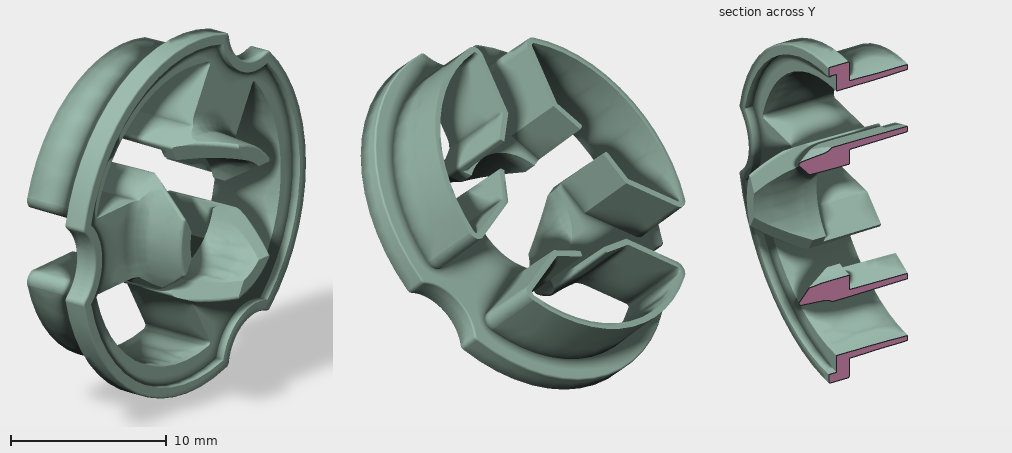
import cadquery as cq
import math

flange_radius = 12.0
flange_thickness = 1.54
flange_rim_fillet = 0.12
hub_radius = 4.2

floor_thickness = 0.95
rim_wall = 0.72

tube_length = 4.27
tube_draft = 0.8
wall = 0.53

arm_count = 3
arm_spacing = 360.0 / arm_count
notch_bottom = 10.5
notch_radius = 3.0
notch_corner_fillet = 0.3

window_radius = 10.0
window_corner_fillet = 0.2
tube_corner_fillet = window_corner_fillet + wall
arm_half_width = 2.62
lip_tip_distance = 5.28
lip_lean = 8.0
lip_tip_fillet = 0.2
slot_half_width = 1.05

claw_length = 3.0
claw_root_radius = 5.6
claw_tip_radius = 5.38
claw_root_fillet = 1.0
claw_edge_fillet = 0.2
flank_end_half_width = 3.22
bore_end_radius = 4.35

claw_end = flange_thickness + claw_length
tolerance = 0.002
half_spacing = math.radians(arm_spacing / 2)


def around_axis(body):
    """Return one copy of the body for each third of the part."""
    copies = body
    for index in range(1, arm_count):
        copies = copies.union(body.rotate((0, 0, 0), (1, 0, 0), index * arm_spacing))
    return copies


def window_points(offset):
    """Lip tip, elbow and rim corner on the +Z side, moved outward by the offset."""
    lean = math.radians(lip_lean)
    lip_line = lip_tip_distance - offset / math.cos(lean)
    side = arm_half_width - offset
    rim = window_radius + offset
    cos_arm = math.cos(half_spacing)
    sin_arm = math.sin(half_spacing)

    tip = (lip_line, slot_half_width)
    elbow_rise = (lip_line * sin_arm - slot_half_width * cos_arm - side) / (
        cos_arm + math.tan(lean) * sin_arm
    )
    elbow = (lip_line - elbow_rise * math.tan(lean), slot_half_width + elbow_rise)
    reach = math.sqrt(rim**2 - side**2)
    corner = (reach * cos_arm + side * sin_arm, reach * sin_arm - side * cos_arm)
    return tip, elbow, corner


def mirrored(point):
    return (point[0], -point[1])


def window_sketch(offset, corner_fillet, with_slot):
    """Window outline, either closed across the lip tips or open to the hub by the slot."""
    tip, elbow, corner = window_points(offset)
    path = [mirrored(corner), mirrored(elbow), mirrored(tip)]
    if with_slot:
        path += [(0, -slot_half_width), (0, slot_half_width)]
    path += [tip, elbow, corner]
    sketch = cq.Sketch()
    for start, end in zip(path, path[1:]):
        sketch = sketch.segment(start, end)
    sketch = sketch.arc(corner, (window_radius + offset, 0), mirrored(corner)).assemble()
    sketch = sketch.vertices(">Y or <Y").fillet(corner_fillet)
    if with_slot:
        for point in (tip, mirrored(tip)):
            lip_tip = cq.NearestToPointSelector((*point, 0))
            sketch = sketch.reset().vertices(lip_tip).fillet(lip_tip_fillet)
    return sketch.reset()


def notches(radius):
    """Cylinders on the rim notch axes."""
    notch = (
        cq.Workplane("YZ")
        .center(-notch_bottom - notch_radius, 0)
        .circle(radius)
        .extrude(flange_thickness)
    )
    return around_axis(notch)


def flange():
    disc = cq.Workplane("YZ").circle(flange_radius).extrude(flange_thickness)
    disc = disc.cut(notches(notch_radius)).edges("|X").fillet(notch_corner_fillet)
    disc = disc.faces("<X or >X").edges().fillet(flange_rim_fillet)
    recess = (
        cq.Workplane("YZ", origin=(floor_thickness, 0, 0))
        .circle(flange_radius - rim_wall)
        .extrude(flange_thickness - floor_thickness)
        .cut(notches(notch_radius + rim_wall))
    )
    return disc.cut(recess)


def tubes():
    outline = window_sketch(wall, tube_corner_fillet, with_slot=False)
    tube = cq.Workplane("YZ").placeSketch(outline).extrude(-tube_length, taper=tube_draft)
    return around_axis(tube)


def windows():
    """Openings with straight sides through the flange and widening sides in the tubes."""
    outline = window_sketch(0, window_corner_fillet, with_slot=True)
    straight = cq.Workplane("YZ").placeSketch(outline).extrude(claw_end)
    widening = cq.Workplane("YZ").placeSketch(outline).extrude(-tube_length, taper=-tube_draft)
    return around_axis(straight.union(widening))


def is_outer_cone(face):
    """Tell the tapered outside of a claw from its bore."""
    return max(math.hypot(v.Y, v.Z) for v in face.Vertices()) > claw_tip_radius


def is_above_root(edge):
    return edge.Center().x > floor_thickness + claw_root_fillet + tolerance


def claws():
    """Tapered ring with a concave root, split into one claw per arm by wedges along the slots."""
    fillet_top = floor_thickness + claw_root_fillet
    fillet_foot = claw_root_radius + claw_root_fillet
    fillet_inset = claw_root_fillet * (1 - math.sqrt(0.5))
    ring = (
        cq.Workplane("XY")
        .moveTo(floor_thickness, 0)
        .lineTo(floor_thickness, fillet_foot)
        .threePointArc(
            (floor_thickness + fillet_inset, claw_root_radius + fillet_inset),
            (fillet_top, claw_root_radius),
        )
        .lineTo(claw_end, claw_tip_radius)
        .lineTo(claw_end, 0)
        .close()
        .revolve(360, (0, 0, 0), (1, 0, 0))
    )
    wedge = (
        cq.Workplane("XZ")
        .moveTo(floor_thickness, -slot_half_width)
        .lineTo(claw_end, -flank_end_half_width)
        .lineTo(claw_end, flank_end_half_width)
        .lineTo(floor_thickness, slot_half_width)
        .close()
        .extrude(-fillet_foot)
    )
    split = ring.cut(around_axis(wedge)).cut(hub_bore())
    outer_cones = split.faces("%CONE").filter(is_outer_cone)
    return split.newObject(outer_cones.edges().filter(is_above_root).vals()).fillet(claw_edge_fillet)


def hub_bore():
    """Straight bore through the cup floor that opens out slightly between the claws."""
    return (
        cq.Workplane("XY")
        .moveTo(-tube_length, 0)
        .lineTo(-tube_length, hub_radius)
        .lineTo(floor_thickness, hub_radius)
        .lineTo(claw_end, bore_end_radius)
        .lineTo(claw_end, 0)
        .close()
        .revolve(360, (0, 0, 0), (1, 0, 0))
    )


blank = flange().union(tubes()).union(claws())
result = blank.cut(windows()).cut(hub_bore())